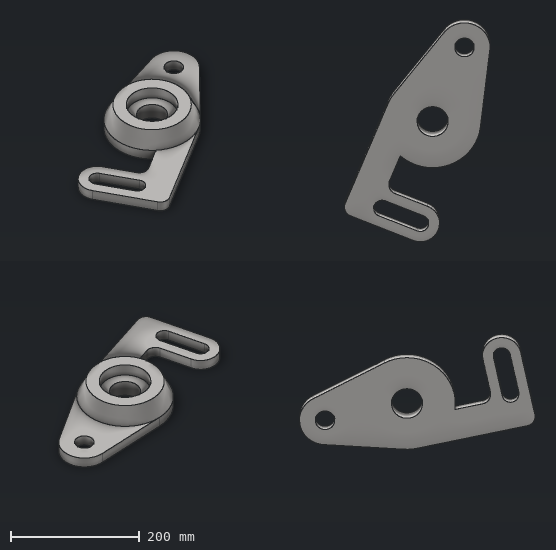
import cadquery as cq
import math

overall_length = 360.0
overall_height = 48.0
plate_thickness = 18.0

boss_base_radius = 150.0 / 2
boss_top_radius = 60.8
bore_diameter = 48.0
counterbore_diameter = 80.0
counterbore_depth = 20.0

ear_radius = 40.0
ear_hole_diameter = 30.0
ear_distance = 130.0

leg_width = 50.0
foot_width = 60.0
foot_radius = foot_width / 2
corner_radius = 15.0
slot_length = 90.0
slot_width = 26.0

arm_right = boss_base_radius
arm_left = -boss_base_radius
arm_bottom = ear_distance + ear_radius - overall_length
foot_top = arm_bottom + foot_width
foot_center_x = arm_left + foot_radius
foot_center_y = arm_bottom + foot_radius


def make_ear():
    """Plate bounded by the common tangents of the boss and ear circles."""
    sine = (boss_base_radius - ear_radius) / ear_distance
    cosine = math.sqrt(1 - sine**2)
    boss_x = boss_base_radius * cosine
    boss_y = boss_base_radius * sine
    ear_x = ear_radius * cosine
    ear_y = ear_distance + ear_radius * sine
    return (
        cq.Workplane("XY")
        .moveTo(boss_x, boss_y)
        .lineTo(ear_x, ear_y)
        .threePointArc((0, ear_distance + ear_radius), (-ear_x, ear_y))
        .lineTo(-boss_x, boss_y)
        .threePointArc((0, -boss_base_radius), (boss_x, boss_y))
        .close()
        .extrude(plate_thickness)
    )


def make_arm():
    """Leg running down from the boss, turning into a round-ended foot."""
    leg_left = arm_right - leg_width
    diagonal = corner_radius * (1 - math.sqrt(0.5))
    return (
        cq.Workplane("XY")
        .moveTo(arm_right, 0)
        .lineTo(arm_right, arm_bottom + corner_radius)
        .threePointArc(
            (arm_right - diagonal, arm_bottom + diagonal),
            (arm_right - corner_radius, arm_bottom),
        )
        .lineTo(foot_center_x, arm_bottom)
        .threePointArc((arm_left, foot_center_y), (foot_center_x, foot_top))
        .lineTo(leg_left - corner_radius, foot_top)
        .threePointArc(
            (leg_left - diagonal, foot_top + diagonal),
            (leg_left, foot_top + corner_radius),
        )
        .lineTo(leg_left, 0)
        .close()
        .extrude(plate_thickness)
    )


def make_cone():
    """Tapered boss standing on the plate."""
    return (
        cq.Workplane("XY")
        .workplane(offset=plate_thickness)
        .circle(boss_base_radius)
        .workplane(offset=overall_height - plate_thickness)
        .circle(boss_top_radius)
        .loft(ruled=True)
    )


def cut_openings(body):
    """Stepped boss bore, ear hole and foot slot."""
    bore = cq.Workplane("XY").circle(bore_diameter / 2).extrude(overall_height)
    counterbore = (
        cq.Workplane("XY")
        .workplane(offset=overall_height - counterbore_depth)
        .circle(counterbore_diameter / 2)
        .extrude(counterbore_depth)
    )
    ear_hole = (
        cq.Workplane("XY")
        .center(0, ear_distance)
        .circle(ear_hole_diameter / 2)
        .extrude(plate_thickness)
    )
    slot_center_x = foot_center_x + (slot_length - slot_width) / 2
    slot = (
        cq.Workplane("XY")
        .center(slot_center_x, foot_center_y)
        .slot2D(slot_length, slot_width)
        .extrude(plate_thickness)
    )
    return body.cut(bore).cut(counterbore).cut(ear_hole).cut(slot)


result = cut_openings(make_ear().union(make_arm()).union(make_cone()))